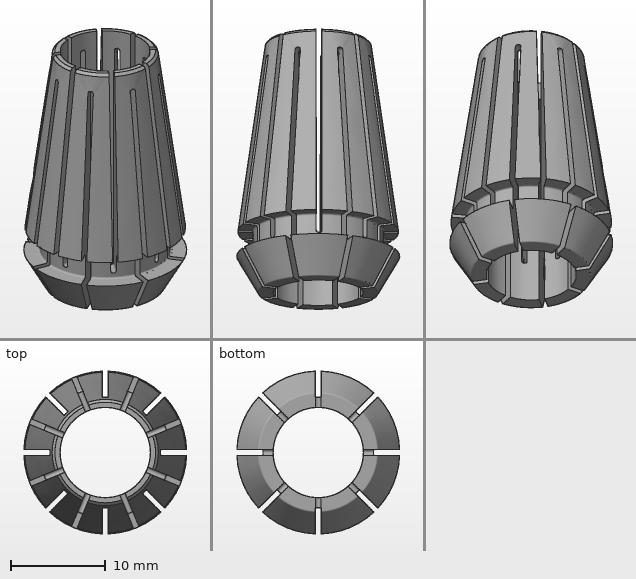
import cadquery as cq
import math

length = 27.5
bore_diameter = 9.53

head_diameter = 17.25
head_height = 4.0
head_half_angle = 30.0
bottom_edge_fillet = 0.2

groove_diameter = 13.8
groove_top = 6.7
groove_fillet = 0.2

taper_large_diameter = 17.0
taper_half_angle = 8.0
top_edge_chamfer = 0.3

slot_width = 0.6
slots_per_end = 8
lower_slot_end = 25.5
upper_slot_end = 4.65

head_radius = head_diameter / 2
groove_radius = groove_diameter / 2
taper_large_radius = taper_large_diameter / 2
bore_radius = bore_diameter / 2
slot_pitch = 360.0 / slots_per_end


def head_cone_radius(z):
    return head_radius - (head_height - z) * math.tan(math.radians(head_half_angle))


def taper_radius(z):
    return taper_large_radius - (z - groove_top) * math.tan(math.radians(taper_half_angle))


def revolved_body():
    """Ring of half-profile (radius, height) turned about Z, without the slots."""
    slope = math.radians(head_half_angle)
    bottom_corner = head_cone_radius(0)
    bottom_setback = bottom_edge_fillet * math.tan((math.pi / 2 - slope) / 2)
    top_chamfer_start = length - top_edge_chamfer
    top_edge_radius = taper_radius(top_chamfer_start)
    return (
        cq.Workplane("XZ")
        .moveTo(bore_radius, 0)
        .lineTo(bottom_corner - bottom_setback, 0)
        .radiusArc(
            (bottom_corner + bottom_setback * math.sin(slope), bottom_setback * math.cos(slope)),
            -bottom_edge_fillet,
        )
        .lineTo(head_radius, head_height)
        .lineTo(groove_radius + groove_fillet, head_height)
        .radiusArc((groove_radius, head_height + groove_fillet), groove_fillet)
        .lineTo(groove_radius, groove_top - groove_fillet)
        .radiusArc((groove_radius + groove_fillet, groove_top), groove_fillet)
        .lineTo(taper_large_radius, groove_top)
        .lineTo(top_edge_radius, top_chamfer_start)
        .lineTo(top_edge_radius - top_edge_chamfer, length)
        .lineTo(bore_radius, length)
        .close()
        .revolve(360, (0, 0, 0), (0, 1, 0))
    )


def slot_cutter(open_end, round_end, angle):
    """Radial blade from the axis outward, with a full round at its closed end."""
    half_width = slot_width / 2
    toward_tip = math.copysign(half_width, round_end - open_end)
    round_start = round_end - toward_tip
    return (
        cq.Workplane("YZ")
        .moveTo(-half_width, open_end)
        .lineTo(-half_width, round_start)
        .threePointArc((0, round_end), (half_width, round_start))
        .lineTo(half_width, open_end)
        .close()
        .extrude(head_diameter)
        .rotate((0, 0, 0), (0, 0, 1), angle)
    )


result = revolved_body()
for index in range(slots_per_end):
    lower_angle = index * slot_pitch
    upper_angle = lower_angle + slot_pitch / 2
    result = result.cut(slot_cutter(0, lower_slot_end, lower_angle))
    result = result.cut(slot_cutter(length, upper_slot_end, upper_angle))